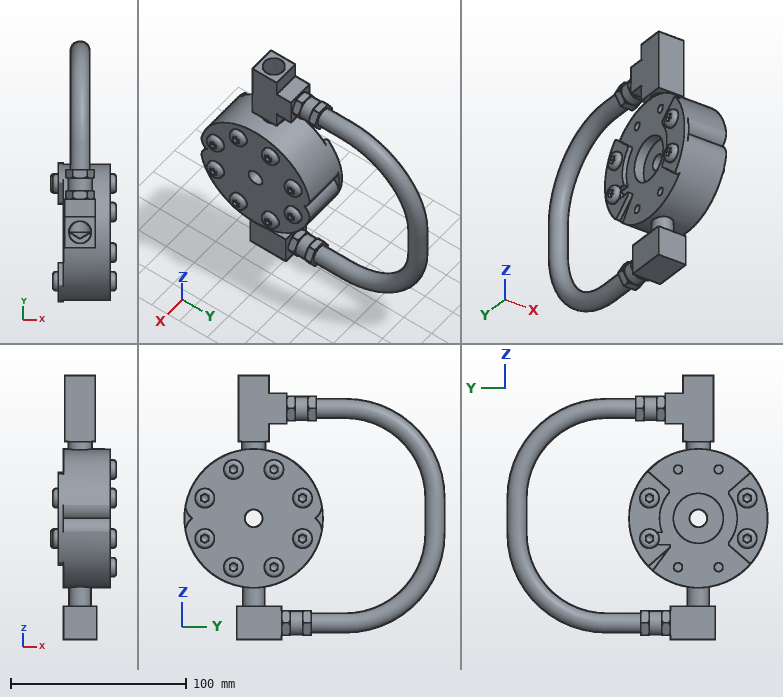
import cadquery as cq
import math

joint_overlap = 0.8

overall_width = 148.8
overall_height = 151.0
hex_sides = 6
hex_corner_ratio = 1 / math.cos(math.pi / hex_sides)

disc_dia = 79.3
disc_radius = disc_dia / 2
disc_thickness = 26.9
recess_dia = 28.5
recess_depth = 6.3
center_hole_dia = 10.0
notch_half_height = 7.5
notch_depth = 3.8

screw_circle_radius = 30.2
first_screw_angle = 22.5
screw_count = 8
pad_screw_places = (0, 3, 4, 7)
slotted_screw_place = 7
tapped_hole_places = (1, 2, 5, 6)
tapped_hole_dia = 5.0
tapped_hole_depth = 12.1

pad_thickness = 2.9
pad_inner_radius = 22.2
pad_half_angle = 41.2
wide_pad_top_offset = 1.2
wide_pad_bottom_offset = 1.8
pad_corner_radius = 1.4
slot_width = 7.1
slot_tip_radius = 0.6

head_dia = 11.0
head_height = 3.5
head_rim_height = 1.4
head_flat_dia = 6.3
socket_across_flats = 4.4
socket_depth = 1.8
socket_tip_depth = 1.0
shank_dia = 5.0
shank_length = 6.0
pad_screw_sink = 0.3
raised_screw_lift = 0.9

port_dia = 12.7
drill_tip_half_angle = 60.0
tee_width = 17.5
tee_top = 81.7
tee_height = 37.9
tee_branch_end = 19.0
tee_axis_z = tee_top - tee_height / 2
tee_neck_dia = 13.7
elbow_width = 19.2
pipe_x = elbow_width / 2
elbow_length = 25.7
elbow_end = 16.0
elbow_bottom = tee_top - overall_height
elbow_axis_z = elbow_bottom + elbow_width / 2
elbow_neck_dia = 12.7

hose_dia = 11.2
hose_reach = overall_width - disc_radius
hose_axis_y = hose_reach - hose_dia / 2
bend_radius = 51.0
nut_across_flats = 14.2
nut_corner_dia = nut_across_flats * hex_corner_ratio
nut_thickness = 4.8
nut_chamfer = 0.8
sleeve_dia = 13.7
coupling_length = 16.8


def x_cylinder(dia, x_start, length, y=0, z=0):
    return cq.Workplane("YZ", origin=(x_start, y, z)).circle(dia / 2).extrude(length)


def z_cylinder(dia, z_start, z_end):
    return cq.Workplane("XY", origin=(pipe_x, 0, z_start)).circle(dia / 2).extrude(z_end - z_start)


def y_cylinder(dia, y_start, y_end, z):
    plane = cq.Plane(origin=(pipe_x, y_start, z), xDir=(1, 0, 0), normal=(0, 1, 0))
    return cq.Workplane(plane).circle(dia / 2).extrude(y_end - y_start)


def block(width, y_start, y_end, z_start, z_end):
    return cq.Workplane("XY", origin=(pipe_x, 0, 0)).box(
        width, y_end - y_start, z_end - z_start, centered=(True, False, False)
    ).translate((0, y_start, z_start))


def screw_place(index):
    angle = math.radians(first_screw_angle + 360 / screw_count * index)
    return screw_circle_radius * math.cos(angle), screw_circle_radius * math.sin(angle)


def rim_notch(side):
    """V-shaped rim notch with two rounded lips that meet in a cusp at z = 0."""
    lip_y = math.sqrt(disc_radius**2 - notch_half_height**2)
    cusp_y = lip_y - notch_depth
    lip_radius = (notch_half_height**2 + notch_depth**2) / (2 * notch_depth)
    half_turn = math.asin(notch_half_height / lip_radius) / 2
    mid_y = lip_y - lip_radius * (1 - math.cos(half_turn))
    mid_z = notch_half_height - lip_radius * math.sin(half_turn)
    return (
        cq.Workplane("YZ")
        .moveTo(side * disc_dia, notch_half_height)
        .lineTo(side * lip_y, notch_half_height)
        .threePointArc((side * mid_y, mid_z), (side * cusp_y, 0))
        .threePointArc((side * mid_y, -mid_z), (side * lip_y, -notch_half_height))
        .lineTo(side * disc_dia, -notch_half_height)
        .close()
        .extrude(disc_thickness)
    )


def make_disc():
    disc = x_cylinder(disc_dia, 0, disc_thickness)
    disc = disc.cut(x_cylinder(recess_dia, 0, recess_depth))
    disc = disc.cut(x_cylinder(center_hole_dia, 0, disc_thickness))
    for side in (1, -1):
        disc = disc.cut(rim_notch(side))
    for index in tapped_hole_places:
        disc = disc.cut(x_cylinder(tapped_hole_dia, 0, tapped_hole_depth, *screw_place(index)))
    return disc


def make_pad(side, top_offset, bottom_offset):
    """Ring segment with straight ends, each shifted outward by its own offset."""
    angle = math.radians(pad_half_angle)

    def end_points(offset, up):
        y = -offset * math.sin(angle)
        z = offset * math.cos(angle)
        tip_y = y + disc_dia * math.cos(angle)
        tip_z = z + disc_dia * math.sin(angle)
        return [(side * y, up * z), (side * tip_y, up * tip_z)]

    outline = end_points(top_offset, 1) + end_points(bottom_offset, -1)[::-1]
    wedge = (
        cq.Workplane("YZ", origin=(-pad_thickness, 0, 0))
        .polyline(outline)
        .close()
        .extrude(pad_thickness)
    )
    ring = x_cylinder(disc_dia, -pad_thickness, pad_thickness)
    ring = ring.cut(x_cylinder(2 * pad_inner_radius, -pad_thickness, pad_thickness))
    return ring.intersect(wedge).edges("|X").fillet(pad_corner_radius)


def make_pad_slot():
    """Open-ended slot from the inner edge of the +Y pad to its lower screw."""
    y, z = screw_place(slotted_screw_place)
    channel = cq.Workplane("XY").box(
        pad_thickness, y, slot_width, centered=(False, False, True)
    ).translate((-pad_thickness, 0, z))
    return channel.union(x_cylinder(slot_width, -pad_thickness, pad_thickness, y, z))


def make_slotted_pad():
    """The wider +Y pad, with the sharp tip below its slot rounded off."""
    pad = make_pad(1, wide_pad_top_offset, wide_pad_bottom_offset).cut(make_pad_slot())
    slot_floor_z = screw_place(slotted_screw_place)[1] - slot_width / 2
    near_tip = cq.selectors.NearestToPointSelector((-pad_thickness / 2, 0, slot_floor_z))
    return pad.edges("|X").edges(near_tip).fillet(slot_tip_radius)


def make_screw():
    """Screw with its head seat at x = 0 and its head toward -X."""
    dome_rise = head_height - head_rim_height
    profile = (
        cq.Workplane("XY")
        .moveTo(shank_length, 0)
        .lineTo(shank_length, shank_dia / 2)
        .lineTo(0, shank_dia / 2)
        .lineTo(0, head_dia / 2)
        .lineTo(-head_rim_height, head_dia / 2)
        .tangentArcPoint((-dome_rise, -(head_dia - head_flat_dia) / 2), relative=True)
        .lineTo(-head_height, 0)
        .close()
    )
    screw = profile.revolve(360, (0, 0, 0), (1, 0, 0))
    socket_corner_dia = socket_across_flats * hex_corner_ratio
    top = cq.Workplane("YZ", origin=(-head_height, 0, 0))
    socket = top.transformed(rotate=(0, 0, 180 / hex_sides))
    socket = socket.polygon(hex_sides, socket_corner_dia).extrude(socket_depth)
    tip = cq.Workplane(cq.Solid.makeCone(
        socket_across_flats / 2, 0, socket_tip_depth,
        cq.Vector(socket_depth - head_height, 0, 0), cq.Vector(1, 0, 0)
    ))
    return screw.cut(socket).cut(tip)


def make_nut(y_start, z, chamfered_ends):
    """Hexagon along Y with flats up and down; chamfered_ends selects '<Y', '>Y' or both."""
    plane = cq.Plane(origin=(pipe_x, y_start, z), xDir=(1, 0, 0), normal=(0, 1, 0))
    nut = cq.Workplane(plane).polygon(hex_sides, nut_corner_dia).extrude(nut_thickness)
    envelope = cq.Workplane(plane).circle(nut_corner_dia / 2).extrude(nut_thickness)
    for end in chamfered_ends:
        envelope = envelope.faces(end).chamfer(nut_chamfer)
    return nut.intersect(envelope)


def make_coupling(y_start, z):
    inner_nut = make_nut(y_start, z, ("<Y", ">Y"))
    outer_nut = make_nut(y_start + coupling_length - nut_thickness, z, ("<Y",))
    sleeve = y_cylinder(sleeve_dia, y_start, y_start + coupling_length, z)
    return sleeve.union(inner_nut).union(outer_nut)


def make_tee():
    half = tee_width / 2
    tee = block(tee_width, -half, half, tee_top - tee_height, tee_top)
    tee = tee.union(block(tee_width, 0, tee_branch_end, tee_axis_z - half, tee_axis_z + half))
    tee = tee.cut(z_cylinder(port_dia, tee_axis_z, tee_top))
    tip_length = port_dia / 2 / math.tan(math.radians(drill_tip_half_angle))
    bore = (
        cq.Workplane("YZ", origin=(pipe_x, 0, tee_axis_z))
        .polyline([
            (-tip_length, 0),
            (0, port_dia / 2),
            (tee_branch_end, port_dia / 2),
            (tee_branch_end, 0),
        ])
        .close()
        .revolve(360, (0, 0, 0), (1, 0, 0))
    )
    neck = z_cylinder(tee_neck_dia, disc_radius - 2 * joint_overlap, tee_top - tee_height)
    return tee.cut(bore).union(neck)


def make_elbow():
    elbow_top = elbow_bottom + elbow_width
    elbow = block(elbow_width, elbow_end - elbow_length, elbow_end, elbow_bottom, elbow_top)
    return elbow.union(z_cylinder(elbow_neck_dia, elbow_top, 2 * joint_overlap - disc_radius))


def make_hose():
    """Two quarter bends joined by a straight, sweeping from the tee to the elbow."""
    upper_start = tee_branch_end + coupling_length - joint_overlap
    lower_start = elbow_end + coupling_length - joint_overlap
    bend_y = hose_axis_y - bend_radius
    path = (
        cq.Workplane("YZ", origin=(pipe_x, 0, 0))
        .moveTo(upper_start, tee_axis_z)
        .lineTo(bend_y, tee_axis_z)
        .tangentArcPoint((hose_axis_y, tee_axis_z - bend_radius), relative=False)
        .lineTo(hose_axis_y, elbow_axis_z + bend_radius)
        .tangentArcPoint((bend_y, elbow_axis_z), relative=False)
        .lineTo(lower_start, elbow_axis_z)
    )
    plane = cq.Plane(origin=(pipe_x, upper_start, tee_axis_z), xDir=(1, 0, 0), normal=(0, 1, 0))
    return cq.Workplane(plane).circle(hose_dia / 2).sweep(path)


result = make_disc()
result = result.union(make_pad(-1, 0, 0))
result = result.union(make_slotted_pad())

screw = make_screw()
rear_screw = screw.mirror("YZ")
for index in range(screw_count):
    y, z = screw_place(index)
    result = result.union(rear_screw.translate((disc_thickness, y, z)))

for index in pad_screw_places:
    y, z = screw_place(index)
    seat = -pad_thickness + pad_screw_sink
    if index == slotted_screw_place:
        seat = -pad_thickness - raised_screw_lift
    result = result.union(screw.translate((seat, y, z)))

result = result.union(make_tee())
result = result.union(make_elbow())
result = result.union(make_coupling(tee_branch_end, tee_axis_z))
result = result.union(make_coupling(elbow_end, elbow_axis_z))
result = result.union(make_hose())